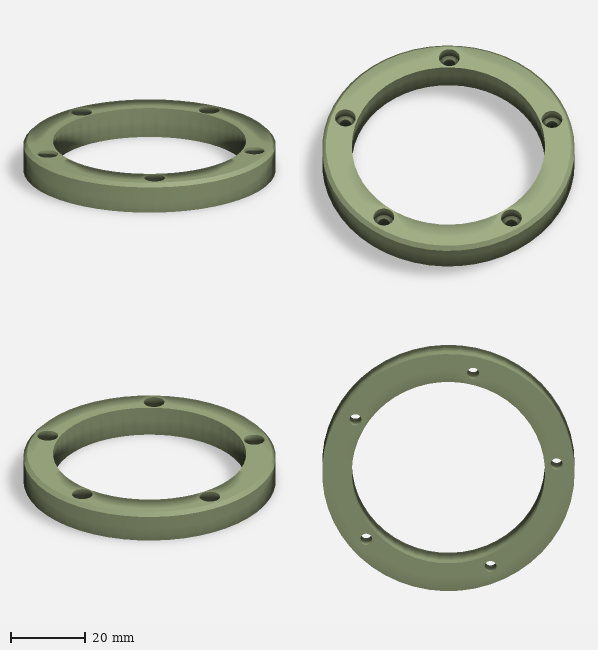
import cadquery as cq

outer_diameter = 68.0
bore_diameter = 52.0
height = 8.2
edge_chamfer = 1.0

hole_count = 5
hole_circle_radius = 29.25
hole_diameter = 3.2
counterbore_diameter = 5.6
counterbore_depth = 3.0
first_hole_angle = 180.0

ring = (
    cq.Workplane("XY")
    .circle(outer_diameter / 2)
    .extrude(height)
    .faces(">Z")
    .edges()
    .chamfer(edge_chamfer)
    .faces(">Z")
    .workplane()
    .hole(bore_diameter)
)

result = (
    ring.faces(">Z")
    .workplane(origin=(0, 0, height))
    .polarArray(hole_circle_radius, first_hole_angle, 360, hole_count)
    .cboreHole(hole_diameter, counterbore_diameter, counterbore_depth)
)